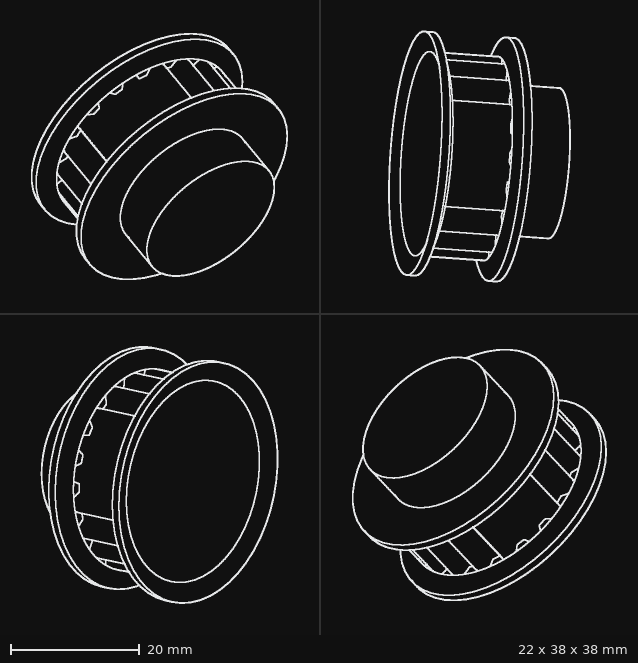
import cadquery as cq
import math

total_length = 22.0
hub_length = 7.68
rim_width = 1.33
flange_bevel = 1.1
dish_depth = flange_bevel

flange_diameter = 38
belt_diameter = 31.85
hub_diameter = 23.5

groove_count = 20
groove_floor_width = 1.33
groove_depth = 1.35
groove_half_angle = 25
groove_edge_radius = 0.15

flange_radius = flange_diameter / 2
belt_radius = belt_diameter / 2
hub_radius = hub_diameter / 2
floor_radius = belt_radius - groove_depth

pulley_length = total_length - hub_length
belt_start = rim_width + flange_bevel
belt_end = pulley_length - belt_start
belt_width = belt_end - belt_start


def make_flanges_and_hub():
    """Flanges, hub and the core joining them, turned about X, with a dished closed face."""
    half_section = [
        (dish_depth, 0),
        (dish_depth, belt_radius),
        (0, flange_radius),
        (rim_width, flange_radius),
        (belt_start, belt_radius),
        (belt_start, hub_radius),
        (belt_end, hub_radius),
        (belt_end, belt_radius),
        (pulley_length - rim_width, flange_radius),
        (pulley_length, flange_radius),
        (pulley_length, hub_radius),
        (total_length, hub_radius),
        (total_length, 0),
    ]
    return cq.Workplane("XY").polyline(half_section).close().revolve(360, (0, 0, 0), (1, 0, 0))


def make_groove():
    """Cutter for one belt groove on the +Y side, as long as the belt surface is wide."""
    overshoot = 0.2
    mouth_radius = belt_radius + overshoot
    floor_half = groove_floor_width / 2
    floor_corner = math.sqrt(floor_radius**2 - floor_half**2)
    flank_run = (mouth_radius - floor_corner) * math.tan(math.radians(groove_half_angle))
    mouth_half = floor_half + flank_run
    return (
        cq.Workplane("YZ", origin=(belt_start, 0, 0))
        .moveTo(floor_corner, -floor_half)
        .lineTo(mouth_radius, -mouth_half)
        .lineTo(mouth_radius, mouth_half)
        .lineTo(floor_corner, floor_half)
        .threePointArc((floor_radius, 0), (floor_corner, -floor_half))
        .close()
        .extrude(belt_width)
    )


def make_toothed_ring():
    """Toothed belt surface with rounded tooth tips and groove roots."""
    ring = (
        cq.Workplane("YZ", origin=(belt_start, 0, 0))
        .circle(belt_radius)
        .circle(hub_radius)
        .extrude(belt_width)
    )
    groove = make_groove()
    for index in range(groove_count):
        ring = ring.cut(groove.rotate((0, 0, 0), (1, 0, 0), index * 360 / groove_count))
    groove_edges = ring.edges("|X").filter(
        lambda edge: math.hypot(edge.Center().y, edge.Center().z) > floor_radius - groove_edge_radius
    )
    return groove_edges.fillet(groove_edge_radius)


result = make_flanges_and_hub().union(make_toothed_ring())